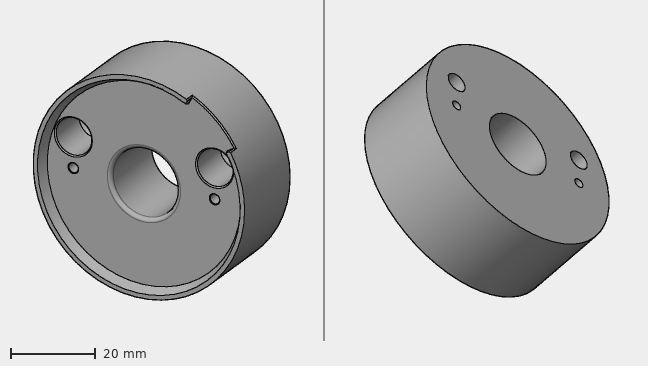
import cadquery as cq
import math

body_radius = 28.5
body_depth = 22.4
front_y = -body_depth / 2
back_y = body_depth / 2

recess_depth = 2.5
recess_mouth_radius = 27.3
recess_floor_radius = 26.05
floor_y = front_y + recess_depth

gap_start_angle = 30.5
gap_end_angle = 62.5
gap_edge_chamfer = 0.35
gap_cut_overshoot = 0.55
gap_cut_radius = body_radius + gap_cut_overshoot

bore_radius = 8.85
bore_mouth_fillet = 1.0

screw_x = 19.05
screw_z = 8.05
screw_hole_radius = 2.6
counterbore_radius = 4.8
counterbore_depth = 11.4
seat_half_angle = 45.0
counterbore_chamfer = 0.35

pin_hole_radius = 1.25
pin_hole_chamfer = 0.15

tolerance = 0.05


def revolve_about_y(profile, x=0.0, z=0.0):
    """Turn a closed (radius, y) profile around a Y axis through (x, z)."""
    outline = cq.Workplane("XY").polyline(profile).close()
    return outline.revolve(360, (0, 0, 0), (0, 1, 0)).translate((x, 0, z))


def blank():
    profile = [(0, front_y), (body_radius, front_y), (body_radius, back_y), (0, back_y)]
    return revolve_about_y(profile)


def recess():
    return revolve_about_y(
        [(0, front_y), (recess_mouth_radius, front_y), (recess_floor_radius, floor_y), (0, floor_y)]
    )


def rim_gap():
    """Sector cut through the rim down to the recess floor."""
    profile = [(0, front_y), (gap_cut_radius, front_y), (gap_cut_radius, floor_y), (0, floor_y)]
    sector = cq.Workplane("XY").polyline(profile).close()
    sector = sector.revolve(gap_end_angle - gap_start_angle, (0, 0, 0), (0, -1, 0))
    return sector.rotate((0, 0, 0), (0, 1, 0), -gap_start_angle)


def is_gap_outer_edge(edge):
    """True for the floor and wall edges of the gap that lie on the outside of the body."""
    center = edge.Center()
    outside_recess = math.hypot(center.x, center.z) > recess_mouth_radius
    return outside_recess and front_y < center.y - tolerance and center.y < floor_y + tolerance


def central_bore():
    """Through bore with a quarter-round mouth at the recess floor."""
    arc_offset = bore_mouth_fillet * (1 - math.sqrt(0.5))
    outline = (
        cq.Workplane("XY")
        .moveTo(0, floor_y)
        .lineTo(bore_radius + bore_mouth_fillet, floor_y)
        .threePointArc(
            (bore_radius + arc_offset, floor_y + arc_offset),
            (bore_radius, floor_y + bore_mouth_fillet),
        )
        .lineTo(bore_radius, back_y)
        .lineTo(0, back_y)
        .close()
    )
    return outline.revolve(360, (0, 0, 0), (0, 1, 0))


def screw_hole(x):
    seat_y = floor_y + counterbore_depth
    seat_depth = (counterbore_radius - screw_hole_radius) / math.tan(math.radians(seat_half_angle))
    profile = [
        (0, floor_y),
        (counterbore_radius + counterbore_chamfer, floor_y),
        (counterbore_radius, floor_y + counterbore_chamfer),
        (counterbore_radius, seat_y),
        (screw_hole_radius, seat_y + seat_depth),
        (screw_hole_radius, back_y),
        (0, back_y),
    ]
    return revolve_about_y(profile, x, screw_z)


def pin_hole(x):
    profile = [
        (0, floor_y),
        (pin_hole_radius + pin_hole_chamfer, floor_y),
        (pin_hole_radius, floor_y + pin_hole_chamfer),
        (pin_hole_radius, back_y),
        (0, back_y),
    ]
    return revolve_about_y(profile, x)


body = blank().cut(recess()).cut(rim_gap())
body = body.edges().filter(is_gap_outer_edge).chamfer(gap_edge_chamfer)
body = body.cut(central_bore())

for side in (-1, 1):
    body = body.cut(screw_hole(side * screw_x))
    body = body.cut(pin_hole(side * screw_x))

result = body